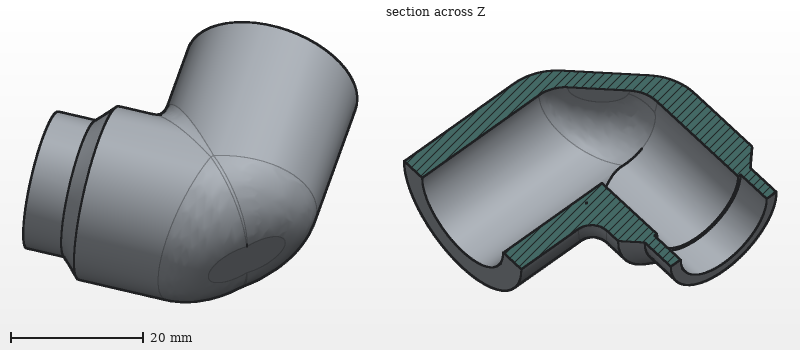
import cadquery as cq

arm_length = 28.0
body_diameter = 27.0
spigot_diameter = 21.3
spigot_length = 6.0
spigot_bore_diameter = 16.3
counterbore_diameter = 17.3
counterbore_depth = 6.0
socket_bore_diameter = 18.6
body_flat_distance = 8.3
cavity_flat_distance = 5.15
body_corner_radius = 10.0
cavity_corner_radius = 6.0
crotch_radius = 3.0

body_radius = body_diameter / 2
spigot_radius = spigot_diameter / 2
spigot_cone_length = body_radius - spigot_radius
core_length = 2 * arm_length
cutter_size = 4 * arm_length

SPIGOT_DIRECTION = cq.Vector(-1, 0, 0)
SOCKET_DIRECTION = cq.Vector(0, 1, 0)
CORNER_DIRECTION = cq.Vector(1, -1, 0).normalized()


def rounded_arm(direction, diameter, flat_distance, corner_radius):
    """Round bar from an arm's end face to the 45 degree corner flat, with the flat's edge rounded.

    A thinner bar with a sharp slanted end is grown outward by the corner radius, which leaves the
    end face of the arm in place and rolls a ball of that radius around the slanted edge.
    """
    core = cq.Workplane(
        cq.Solid.makeCylinder(
            diameter / 2 - corner_radius, core_length, direction * arm_length, direction * -1
        )
    )
    core_end = CORNER_DIRECTION * (flat_distance - corner_radius)
    beyond_flat = (
        cq.Workplane(cq.Plane(origin=core_end, xDir=(0, 0, 1), normal=CORNER_DIRECTION))
        .rect(cutter_size, cutter_size)
        .extrude(cutter_size)
    )
    core = core.cut(beyond_flat)
    grown_layer = core.faces(cq.selectors.DirectionMinMaxSelector(direction)).shell(corner_radius)
    return grown_layer.union(core)


def make_body():
    """Two equal arms joined at the corner, blended along the crease between them."""
    spigot_arm = rounded_arm(SPIGOT_DIRECTION, body_diameter, body_flat_distance, body_corner_radius)
    socket_arm = rounded_arm(SOCKET_DIRECTION, body_diameter, body_flat_distance, body_corner_radius)
    elbow = spigot_arm.union(socket_arm)
    inner_corner = (-body_radius, body_radius, 0)
    return elbow.edges(cq.selectors.NearestToPointSelector(inner_corner)).fillet(crotch_radius)


def make_spigot_trim():
    """Ring removed around the spigot: the straight turned length and the cone up to the body."""
    end_x = -arm_length
    shoulder_x = end_x + spigot_length
    return (
        cq.Workplane("XY")
        .moveTo(end_x, spigot_radius)
        .lineTo(shoulder_x, spigot_radius)
        .lineTo(shoulder_x + spigot_cone_length, body_radius)
        .lineTo(end_x, body_radius)
        .close()
        .revolve(360, (0, 0, 0), (1, 0, 0))
    )


def make_cavity():
    """The two bores joined inside the corner, with the counterbore at the spigot end."""
    spigot_bore = rounded_arm(
        SPIGOT_DIRECTION, spigot_bore_diameter, cavity_flat_distance, cavity_corner_radius
    )
    socket_bore = rounded_arm(
        SOCKET_DIRECTION, socket_bore_diameter, cavity_flat_distance, cavity_corner_radius
    )
    counterbore = cq.Workplane(
        cq.Solid.makeCylinder(
            counterbore_diameter / 2,
            counterbore_depth,
            SPIGOT_DIRECTION * arm_length,
            SPIGOT_DIRECTION * -1,
        )
    )
    return spigot_bore.union(socket_bore).union(counterbore)


result = make_body().cut(make_spigot_trim()).cut(make_cavity())